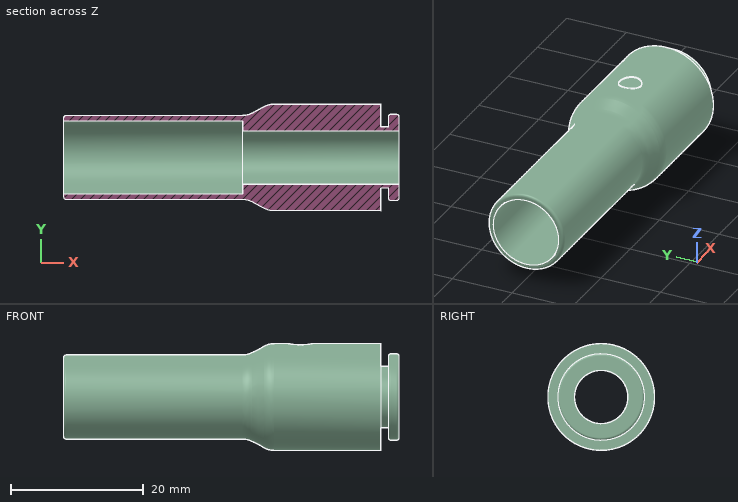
import cadquery as cq
import math

length = 50.5
blend_start = 26.95
body_end = 47.75
flange_start = 48.9

stem_radius = 12.75 / 2
body_radius = 16.1 / 2
neck_radius = 9.3 / 2
flange_radius = 13.05 / 2

cone_angle = math.radians(28)
blend_radius = 3.15

stem_rounding = 0.45
flange_rounding = 0.35

stem_bore_radius = 10.95 / 2
through_bore_radius = 8.0 / 2

recess_x = 35.65
recess_radius = 1.75
recess_depth = 0.15

arc_run = blend_radius * math.sin(cone_angle)
arc_rise = blend_radius * (1 - math.cos(cone_angle))
half_run = blend_radius * math.sin(cone_angle / 2)
half_rise = blend_radius * (1 - math.cos(cone_angle / 2))
cone_rise = body_radius - stem_radius - 2 * arc_rise
blend_end = blend_start + 2 * arc_run + cone_rise / math.tan(cone_angle)


def cylinder(radius, start, end):
    """Cylinder on the X axis between two axial positions."""
    return cq.Workplane("YZ", origin=(start, 0, 0)).circle(radius).extrude(end - start)


def make_shell():
    """Stem, rounded shoulder and body as one revolved outline."""
    outline = (
        cq.Workplane("XY")
        .moveTo(0, 0)
        .lineTo(0, stem_radius)
        .lineTo(blend_start, stem_radius)
        .threePointArc(
            (blend_start + half_run, stem_radius + half_rise),
            (blend_start + arc_run, stem_radius + arc_rise),
        )
        .lineTo(blend_end - arc_run, body_radius - arc_rise)
        .threePointArc(
            (blend_end - half_run, body_radius - half_rise),
            (blend_end, body_radius),
        )
        .lineTo(body_end, body_radius)
        .lineTo(body_end, 0)
        .close()
    )
    shell = outline.revolve(360, (0, 0, 0), (1, 0, 0))
    return shell.faces("<X").edges().fillet(stem_rounding)


def make_release_collar():
    """Neck and rounded flange projecting from the body."""
    neck = cylinder(neck_radius, body_end, flange_start)
    flange = cylinder(flange_radius, flange_start, length)
    flange = flange.faces("<X or >X").edges().fillet(flange_rounding)
    return neck.union(flange)


def make_recess():
    """Round recess cutter whose floor is concentric with the body."""
    plug = (
        cq.Workplane("XY")
        .center(recess_x, 0)
        .circle(recess_radius)
        .extrude(body_radius + recess_depth)
    )
    core = cylinder(body_radius - recess_depth, 0, length)
    return plug.cut(core)


result = (
    make_shell()
    .union(make_release_collar())
    .cut(cylinder(stem_bore_radius, 0, blend_start))
    .cut(cylinder(through_bore_radius, 0, length))
    .cut(make_recess())
)